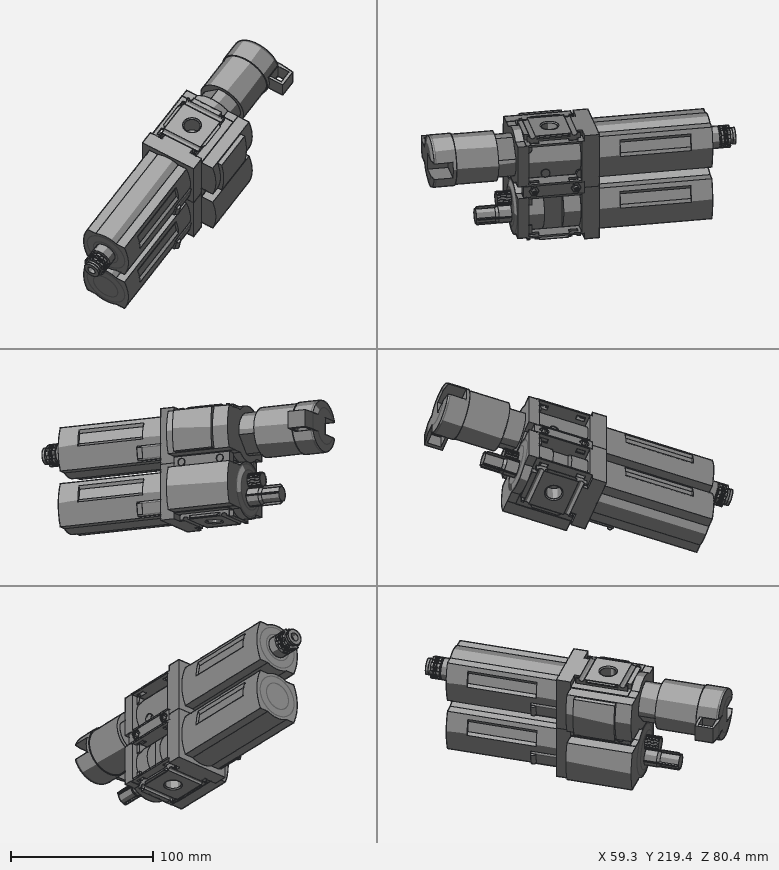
import cadquery as cq
import math


UNIT_HEIGHT = 40.2
HEAD_WIDTH = 42.5
HEAD_LENGTH = 58.4
FRONT_FLANGE = 10.5
REAR_FLANGE = 6.1
PLATE_HEIGHT = 4.2
REAR_CORNER_STEP = 4.5
HALF_HEIGHT = UNIT_HEIGHT / 2
CORE_HALF = HALF_HEIGHT - PLATE_HEIGHT
REAR_FLANGE_HALF = HALF_HEIGHT - REAR_CORNER_STEP
HALF_WIDTH = HEAD_WIDTH / 2
REAR_FLANGE_START = HEAD_LENGTH - REAR_FLANGE
HEAD_CENTRE_Y = (FRONT_FLANGE + REAR_FLANGE_START) / 2

PLATE_HALF_WIDTH = 15.1
PLATE_CORNER = 3.5
POST_WIDTH = 1.3
POST_LENGTH = 1.8
PORT_Y = 31.5
PORT_DIAMETER = 11.5
PORT_DEPTH = 13.2
PORT_CHAMFER = 0.9
GROOVE_SPACING = 30.0
GROOVE_RADIUS = 2.0
GROOVE_PLACES = [PORT_Y - GROOVE_SPACING / 2, PORT_Y + GROOVE_SPACING / 2]
TAB_REACH = 2.2
TAB_ROOT_LENGTH = 23.7
TAB_TIP_LENGTH = 19.7
TAB_DROP = 0.5

WINDOW_START = 12.5
WINDOW_END = 50.5
WINDOW_HEIGHT = 29.2
WINDOW_HALF = WINDOW_HEIGHT / 2
WINDOW_FLOOR = -10.3
INNER_HOUSING_RADIUS = 17.8
BOSS_RADIUS = 3.0
BOSS_FACE = -17.3
BUTTON_PLACE = (37.7, -8.5)
CORNER_BOSS_Z = 11.2
LUG_LENGTH = 3.0
LUG_HEIGHT = 6.5
SLIT_LENGTH = 6.1
SLIT_WIDTH = 3.3
SLIT_PLACES = [17.8, 45.6]

COVER_HEIGHT = 30.5
COVER_EDGE = 30.5
COVER_CROWN = 33.1
GAUGE_HEIGHT = 29.5
GAUGE_LENGTH = 30.0
GAUGE_EDGE = 34.2
GAUGE_CROWN = 35.8

BOWL_LENGTH = 81.6
BOWL_CORNER_X = 15.4
BOWL_CORNER_Z = 15.5
BOWL_SIDE = 18.6
BOWL_ROUND_RADIUS = 17.8
BOWL_END_RADIUS = 15.5
BOWL_END_FACE_RADIUS = 10.0
BOWL_END_HEIGHT = 0.5
SIGHT_START = 15.5
SIGHT_LENGTH = 50.7
SIGHT_CLEARANCE = 2.2
SIGHT_OUTER = (12.3, 0.2)
SIGHT_FLOOR_TOP = (15.4, 9.9)
SIGHT_FLOOR_BOTTOM = (16.7, 2.2)
LEVER_TOP = (18.0, -5.7)
LEVER_BOTTOM = (16.7, -13.5)
LEVER_THICKNESS = 2.6
LEVER_LENGTH = 15.5
LEVER_GRIP_RADIUS = 2.0
LEVER_GRIP_OFFSET = 1.3

DRAIN_DIAMETER = 15.8
DRAIN_COLLAR_END = 88.9
DRAIN_CORE_DIAMETER = 11.0
DRAIN_TIP_DIAMETER = 11.8
DRAIN_TIP_START = 98.7
DRAIN_END = 100.7
DRAIN_FINS = [(90.2, 92.2), (93.0, 94.1), (95.0, 96.8)]
DRAIN_BORE_DIAMETER = 6.1
DRAIN_BORE_DEPTH = 4.4
DRAIN_NOTCHES = 8
DRAIN_NOTCH_WIDTH = 2.6

NECK_RADIUS = 15.1
NECK_END = 71.3
NECK_FLAT_ANGLE = 45
NECK_FLAT = 12.7
KNOB_DIAMETER = 35.5
KNOB_END = 101.4
CAP_DIAMETER = 37.0
CAP_RADIUS = CAP_DIAMETER / 2
CAP_SHOULDER = 116.0
CAP_RIM_RADIUS = 18.2
CAP_RIM = 117.4
CAP_TOP_RADIUS = 13.0
CAP_END = 118.7
LOCK_WIDTH = 12.0
LOCK_SLOT_FLOOR = 104.0
LOCK_REACH = 29.6
LOCK_BEND = 19.7
LOCK_EYE_X = (18.0, 27.2)
LOCK_EYE_Y = (106.0, 116.0)

LID_DIAMETER = 37.3
LID_TOP_RADIUS = 14.3
LID_HEIGHT = 1.3
DOME_Z = -5.3
DOME_BASE_RADIUS = 6.4
DOME_BASE_END = 69.0
DOME_TUBE_RADIUS = 5.3
DOME_TUBE_START = 71.0
DOME_END = 84.7
DOME_RIB_REACH = 7.0
DOME_RIB_THICKNESS = 0.77
DOME_RIB_CHAMFER = 1.3
FILL_KNOB_Z = 6.5
FILL_KNOB_RADIUS = 5.3
FILL_KNOB_END = 69.8
FILL_NOTCHES = 16
FILL_NOTCH_RADIUS = 0.55
BAND_START = 24.8
BAND_END = 38.6

CONNECTOR_END = 54.2
SCREW_DIAMETER = 3.0
SCREW_TIP = -23.5
SCREW_HEAD_DIAMETER = 5.3
SCREW_HEAD_START = 19.0
SCREW_HEAD_END = 22.0
SCREW_SOCKET_DIAMETER = 1.5
SCREW_SOCKET_DEPTH = 1.0
NUT_POCKET_DIAMETER = 7.0
NUT_POCKET_DEPTH = 1.3


def block(x_range, y_range, z_range):
    """Box between the given limits."""
    size = [limits[1] - limits[0] for limits in (x_range, y_range, z_range)]
    corner = (x_range[0], y_range[0], z_range[0])
    return cq.Workplane("XY").box(*size, centered=False).translate(corner)


def rod(radius, y_start, y_end, x=0.0, z=0.0):
    """Cylinder along Y."""
    return cq.Workplane("XZ", origin=(x, y_start, z)).circle(radius).extrude(y_start - y_end)


def cross_rod(radius, x_start, x_end, y, z):
    """Cylinder along X."""
    return cq.Workplane("YZ", origin=(x_start, y, z)).circle(radius).extrude(x_end - x_start)


def turned(profile):
    """Solid of revolution about the Y axis from (radius, y) points."""
    return cq.Workplane("XY").polyline(profile).close().revolve(360, (0, 0, 0), (0, 1, 0))


def both_ends(shape):
    """The shape together with its mirror image across the plane Z = 0."""
    return [shape, shape.mirror("XY")]


def connecting_plate():
    """Upper connecting plate with corner notches, screw grooves and dovetail tabs."""
    width = (-PLATE_HALF_WIDTH, PLATE_HALF_WIDTH)
    plate = block(width, (FRONT_FLANGE, REAR_FLANGE_START), (CORE_HALF, HALF_HEIGHT))
    notch = corner_notch()
    for side_notch in (notch, notch.mirror("YZ")):
        plate = plate.cut(side_notch).cut(side_notch.mirror("XZ", (0, HEAD_CENTRE_Y, 0)))
    for y in GROOVE_PLACES:
        plate = plate.cut(cross_rod(GROOVE_RADIUS, *width, y, HALF_HEIGHT))
    for side in (-1, 1):
        plate = plate.union(dovetail_tab(side))
    return plate


def corner_notch():
    """L-shaped notch in the front +X corner of a plate, leaving a small post beside the groove."""
    x_range = (PLATE_HALF_WIDTH - PLATE_CORNER, PLATE_HALF_WIDTH)
    y_range = (FRONT_FLANGE, FRONT_FLANGE + PLATE_CORNER)
    height = (CORE_HALF, HALF_HEIGHT)
    post = block((x_range[1] - POST_WIDTH, x_range[1]), (y_range[1] - POST_LENGTH, y_range[1]), height)
    return block(x_range, y_range, height).cut(post)


def dovetail_tab(side):
    """Tab on one end of a connecting plate, with an underside that slopes inwards."""
    root = side * PLATE_HALF_WIDTH
    tip = side * (PLATE_HALF_WIDTH + TAB_REACH)
    top = HALF_HEIGHT - TAB_DROP
    outline = [
        (root, PORT_Y - TAB_ROOT_LENGTH / 2),
        (tip, PORT_Y - TAB_TIP_LENGTH / 2),
        (tip, PORT_Y + TAB_TIP_LENGTH / 2),
        (root, PORT_Y + TAB_ROOT_LENGTH / 2),
    ]
    tab = cq.Workplane("XY", origin=(0, 0, top - TAB_REACH)).polyline(outline).close().extrude(TAB_REACH)
    slope = [(root, top), (tip, top), (root, top - TAB_REACH)]
    wedge = cq.Workplane("XZ").polyline(slope).close().extrude(-HEAD_LENGTH)
    return tab.intersect(wedge)


def port():
    """Port in the top, with a chamfered mouth."""
    bore = cq.Workplane("XY", origin=(0, PORT_Y, HALF_HEIGHT - PORT_DEPTH))
    bore = bore.circle(PORT_DIAMETER / 2).extrude(PORT_DEPTH)
    mouth = cq.Workplane("XY", origin=(0, PORT_Y, HALF_HEIGHT))
    mouth = mouth.circle(PORT_DIAMETER / 2 + PORT_CHAMFER).extrude(-PORT_CHAMFER, taper=45)
    return bore.union(mouth)


def side_window():
    """Material removed between the -X side and the round inner housing."""
    opening = block((-HALF_WIDTH, WINDOW_FLOOR), (WINDOW_START, WINDOW_END), (-WINDOW_HALF, WINDOW_HALF))
    return opening.cut(rod(INNER_HOUSING_RADIUS, WINDOW_START, WINDOW_END))


def regulator_bosses():
    """Flat-faced round bosses in the window: a button and two at opposite corners."""
    corner_places = [(WINDOW_END, CORNER_BOSS_Z), (WINDOW_START, -CORNER_BOSS_Z)]
    places = [BUTTON_PLACE, *corner_places]
    return [cross_rod(BOSS_RADIUS, BOSS_FACE, WINDOW_FLOOR, y, z) for y, z in places]


def lubricator_lug():
    """Block in the upper rear corner of the window."""
    return block(
        (BOSS_FACE, WINDOW_FLOOR),
        (WINDOW_END - LUG_LENGTH, WINDOW_END),
        (WINDOW_HALF - LUG_HEIGHT, WINDOW_HALF),
    )


def strip_slit(y):
    """Slit through the thin strip between the upper connecting plate and the window."""
    return block(
        (-PLATE_HALF_WIDTH - SLIT_WIDTH, -PLATE_HALF_WIDTH),
        (y - SLIT_LENGTH / 2, y + SLIT_LENGTH / 2),
        (WINDOW_HALF, CORE_HALF),
    )


def crowned_plate(half_height, edge, crown, y_start, y_end):
    """Plate on the +X side whose outer face is an arc from edge to edge."""
    outline = cq.Workplane("XZ", origin=(0, y_start, 0)).moveTo(HALF_WIDTH, -half_height)
    outline = outline.lineTo(edge, -half_height)
    outline = outline.threePointArc((crown, 0), (edge, half_height))
    outline = outline.lineTo(HALF_WIDTH, half_height).close()
    return outline.extrude(y_start - y_end)


def head(port_side):
    """Head of a unit, with its port facing up (1) or down (-1)."""
    width = (-HALF_WIDTH, HALF_WIDTH)
    body = block(width, (0, FRONT_FLANGE), (-HALF_HEIGHT, HALF_HEIGHT))
    body = body.union(block(width, (FRONT_FLANGE, REAR_FLANGE_START), (-CORE_HALF, CORE_HALF)))
    rear_corners = (-REAR_FLANGE_HALF, REAR_FLANGE_HALF)
    body = body.union(block(width, (REAR_FLANGE_START, HEAD_LENGTH), rear_corners))
    body = body.union(rod(HALF_HEIGHT, REAR_FLANGE_START, HEAD_LENGTH))
    for plate in both_ends(connecting_plate()):
        body = body.union(plate)
    port_turn = 0 if port_side > 0 else 180
    body = body.cut(port().rotate((0, 0, 0), (0, 1, 0), port_turn))
    body = body.cut(side_window())
    for y in SLIT_PLACES:
        for slit in both_ends(strip_slit(y)):
            body = body.cut(slit)
    return body.union(crowned_plate(COVER_HEIGHT / 2, COVER_EDGE, COVER_CROWN, FRONT_FLANGE, HEAD_LENGTH))


def bowl_body():
    outline = cq.Workplane("XZ").moveTo(-BOWL_CORNER_X, -BOWL_CORNER_Z)
    outline = outline.lineTo(BOWL_CORNER_X, -BOWL_CORNER_Z)
    outline = outline.threePointArc((BOWL_SIDE, 0), (BOWL_CORNER_X, BOWL_CORNER_Z))
    outline = outline.lineTo(-BOWL_CORNER_X, BOWL_CORNER_Z)
    outline = outline.threePointArc((-BOWL_SIDE, 0), (-BOWL_CORNER_X, -BOWL_CORNER_Z)).close()
    body = outline.extrude(BOWL_LENGTH).union(rod(BOWL_ROUND_RADIUS, -BOWL_LENGTH, 0))
    end = turned([
        (0, -BOWL_LENGTH),
        (BOWL_END_RADIUS, -BOWL_LENGTH),
        (BOWL_END_FACE_RADIUS, -BOWL_LENGTH - BOWL_END_HEIGHT),
        (0, -BOWL_LENGTH - BOWL_END_HEIGHT),
    ])
    return body.union(end)


def sight_window(side):
    """Long recess with sloping edges in one side of the bowl."""
    outer_top, outer_bottom = SIGHT_OUTER
    beyond = BOWL_SIDE + SIGHT_CLEARANCE
    outline = [
        (side * beyond, outer_top),
        (side * SIGHT_FLOOR_BOTTOM[0], outer_top),
        (side * SIGHT_FLOOR_TOP[0], SIGHT_FLOOR_TOP[1]),
        (side * SIGHT_FLOOR_BOTTOM[0], SIGHT_FLOOR_BOTTOM[1]),
        (side * BOWL_SIDE, outer_bottom),
        (side * beyond, outer_bottom),
    ]
    plane = cq.Workplane("XZ", origin=(0, -SIGHT_START, 0))
    return plane.polyline(outline).close().extrude(SIGHT_LENGTH)


def lock_lever():
    """Slanted lever beside the bowl, ending in a rounded grip."""
    run = (LEVER_TOP[0] - LEVER_BOTTOM[0], LEVER_TOP[1] - LEVER_BOTTOM[1])
    reach = math.hypot(*run)
    middle = ((LEVER_TOP[0] + LEVER_BOTTOM[0]) / 2, (LEVER_TOP[1] + LEVER_BOTTOM[1]) / 2)
    slant = math.degrees(math.atan2(run[1], run[0]))
    plane = cq.Workplane("XZ").center(*middle)
    lever = plane.slot2D(reach + LEVER_THICKNESS, LEVER_THICKNESS, slant)
    lever = lever.extrude(LEVER_LENGTH + 2 * LEVER_GRIP_RADIUS)
    grip_start = cq.Vector(
        LEVER_BOTTOM[0] + LEVER_GRIP_OFFSET, -LEVER_LENGTH - LEVER_GRIP_RADIUS, LEVER_BOTTOM[1]
    )
    grip = cq.Solid.makeCylinder(LEVER_GRIP_RADIUS, reach, grip_start, cq.Vector(run[0], 0, run[1]))
    return lever.union(cq.Workplane(grip))


def bowl():
    body = bowl_body()
    for side in (-1, 1):
        body = body.cut(sight_window(side))
    return body.union(lock_lever())


def drain_screw():
    """Finned drain screw below the filter bowl."""
    fin_start = DRAIN_FINS[0][0]
    fin_end = DRAIN_FINS[-1][1]
    fins = rod(DRAIN_CORE_DIAMETER / 2, -fin_end, -fin_start)
    for start, end in DRAIN_FINS:
        fins = fins.union(rod(DRAIN_DIAMETER / 2, -end, -start))
    notch = block(
        (-DRAIN_NOTCH_WIDTH / 2, DRAIN_NOTCH_WIDTH / 2),
        (-fin_end, -fin_start),
        ((DRAIN_CORE_DIAMETER + DRAIN_DIAMETER) / 4, DRAIN_DIAMETER),
    )
    for index in range(DRAIN_NOTCHES):
        angle = 360 / DRAIN_NOTCHES * (index + 0.5)
        fins = fins.cut(notch.rotate((0, 0, 0), (0, 1, 0), angle))
    screw = rod(DRAIN_DIAMETER / 2, -DRAIN_COLLAR_END, -BOWL_LENGTH)
    screw = screw.union(rod(DRAIN_CORE_DIAMETER / 2, -DRAIN_END, -BOWL_LENGTH)).union(fins)
    screw = screw.union(rod(DRAIN_TIP_DIAMETER / 2, -DRAIN_END, -DRAIN_TIP_START))
    return screw.cut(rod(DRAIN_BORE_DIAMETER / 2, -DRAIN_END, -DRAIN_END + DRAIN_BORE_DEPTH))


def neck():
    """Round neck with two opposite wrench flats on a slant."""
    length = NECK_END - HEAD_LENGTH
    flats = cq.Workplane("XY").box(2 * NECK_FLAT, length, 2 * NECK_RADIUS)
    flats = flats.rotate((0, 0, 0), (0, 1, 0), NECK_FLAT_ANGLE).translate((0, HEAD_LENGTH + length / 2, 0))
    return rod(NECK_RADIUS, HEAD_LENGTH, NECK_END).intersect(flats)


def locking_cap():
    """Cap on the knob with a slot across it, holding the lock with its eye."""
    cap = turned([
        (0, KNOB_END),
        (CAP_RADIUS, KNOB_END),
        (CAP_RADIUS, CAP_SHOULDER),
        (CAP_RIM_RADIUS, CAP_RIM),
        (CAP_TOP_RADIUS, CAP_END),
        (0, CAP_END),
    ])
    half_width = (-LOCK_WIDTH / 2, LOCK_WIDTH / 2)
    slot = block((-CAP_RADIUS, CAP_RADIUS), (LOCK_SLOT_FLOOR, CAP_END), half_width)
    outline = [
        (0, LOCK_SLOT_FLOOR),
        (LOCK_REACH, LOCK_SLOT_FLOOR),
        (LOCK_REACH, CAP_RIM),
        (LOCK_BEND, CAP_END),
        (0, CAP_END),
    ]
    lock = cq.Workplane("XY", origin=(0, 0, half_width[0])).polyline(outline).close().extrude(LOCK_WIDTH)
    lock = lock.cut(block(LOCK_EYE_X, LOCK_EYE_Y, half_width))
    return cap.cut(slot).union(lock)


def lid():
    """Low conical lid on the rear of the head."""
    return turned([
        (0, HEAD_LENGTH),
        (LID_DIAMETER / 2, HEAD_LENGTH),
        (LID_TOP_RADIUS, HEAD_LENGTH + LID_HEIGHT),
        (0, HEAD_LENGTH + LID_HEIGHT),
    ])


def drip_dome():
    """Sight dome: a tube on a round base, with four thin ribs along it."""
    dome = turned([
        (0, HEAD_LENGTH),
        (DOME_BASE_RADIUS, HEAD_LENGTH),
        (DOME_BASE_RADIUS, DOME_BASE_END),
        (DOME_TUBE_RADIUS, DOME_TUBE_START),
        (DOME_TUBE_RADIUS, DOME_END),
        (0, DOME_END),
    ])
    thickness = (-DOME_RIB_THICKNESS / 2, DOME_RIB_THICKNESS / 2)
    length = (HEAD_LENGTH, DOME_END)
    reach = (-DOME_RIB_REACH, DOME_RIB_REACH)
    ribs = block(thickness, length, reach).union(block(reach, length, thickness))
    envelope = turned([
        (0, HEAD_LENGTH),
        (DOME_RIB_REACH, HEAD_LENGTH),
        (DOME_RIB_REACH, DOME_END - DOME_RIB_CHAMFER),
        (DOME_RIB_REACH - DOME_RIB_CHAMFER, DOME_END),
        (0, DOME_END),
    ])
    dome = dome.union(ribs.intersect(envelope))
    return dome.translate((0, 0, DOME_Z))


def fill_knob():
    """Serrated knob of the oil filling screw."""
    knob = rod(FILL_KNOB_RADIUS, HEAD_LENGTH, FILL_KNOB_END, z=FILL_KNOB_Z)
    for index in range(FILL_NOTCHES):
        angle = 2 * math.pi * index / FILL_NOTCHES
        x = FILL_KNOB_RADIUS * math.cos(angle)
        z = FILL_KNOB_Z + FILL_KNOB_RADIUS * math.sin(angle)
        knob = knob.cut(rod(FILL_NOTCH_RADIUS, HEAD_LENGTH + LID_HEIGHT, FILL_KNOB_END, x, z))
    return knob


def filter_regulator():
    unit = head(1).union(bowl()).union(drain_screw()).union(neck())
    unit = unit.union(rod(KNOB_DIAMETER / 2, NECK_END, KNOB_END)).union(locking_cap())
    for boss in regulator_bosses():
        unit = unit.union(boss)
    gauge_ends = (PORT_Y - GAUGE_LENGTH / 2, PORT_Y + GAUGE_LENGTH / 2)
    unit = unit.union(crowned_plate(GAUGE_HEIGHT / 2, GAUGE_EDGE, GAUGE_CROWN, *gauge_ends))
    return unit.translate((0, 0, HALF_HEIGHT))


def lubricator():
    unit = head(-1).union(bowl()).union(lid()).union(drip_dome()).union(fill_knob())
    band = block((-HALF_WIDTH, WINDOW_FLOOR), (BAND_START, BAND_END), (-WINDOW_HALF, WINDOW_HALF))
    unit = unit.cut(band)
    for lug in both_ends(lubricator_lug()):
        unit = unit.union(lug)
    return unit.translate((0, 0, -HALF_HEIGHT))


def clamp_screw(y):
    """Screw along X with its head on the +X side and a socket in its tip."""
    screw = cross_rod(SCREW_DIAMETER / 2, SCREW_TIP, SCREW_HEAD_END, y, 0)
    screw = screw.union(cross_rod(SCREW_HEAD_DIAMETER / 2, SCREW_HEAD_START, SCREW_HEAD_END, y, 0))
    socket_end = SCREW_TIP + SCREW_SOCKET_DEPTH
    return screw.cut(cross_rod(SCREW_SOCKET_DIAMETER / 2, SCREW_TIP, socket_end, y, 0))


def connector(neighbours):
    """Two side jaws joined by sleeves around the screws, cut out where other bodies sit."""
    half = HALF_HEIGHT - CORE_HALF
    length = (FRONT_FLANGE, CONNECTOR_END)
    body = block((-HALF_WIDTH, -PLATE_HALF_WIDTH), length, (-half, half))
    body = body.union(block((PLATE_HALF_WIDTH, HALF_WIDTH), length, (-half, half)))
    for y in GROOVE_PLACES:
        body = body.union(cross_rod(GROOVE_RADIUS, -PLATE_HALF_WIDTH, PLATE_HALF_WIDTH, y, 0))
        pocket = cq.Workplane("YZ", origin=(-HALF_WIDTH, y, 0)).polygon(6, NUT_POCKET_DIAMETER)
        body = body.cut(pocket.extrude(NUT_POCKET_DEPTH))
    for neighbour in neighbours:
        body = body.cut(neighbour)
    return body


regulator = filter_regulator()
oiler = lubricator()
screws = [clamp_screw(y) for y in GROOVE_PLACES]
clamp = connector([regulator, oiler, *screws])

result = cq.Compound.makeCompound([
    regulator.val(),
    oiler.val(),
    clamp.val(),
    *[screw.val() for screw in screws],
])